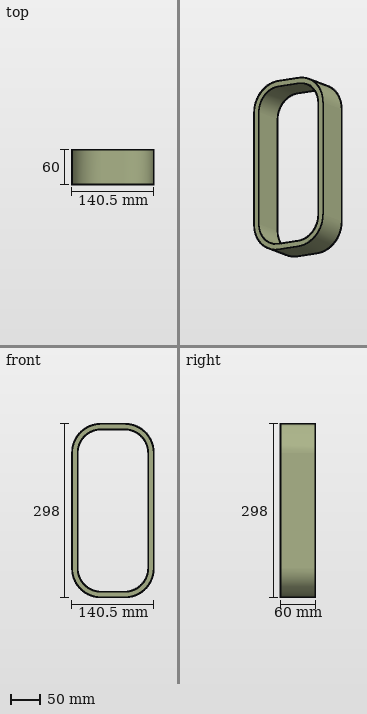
import cadquery as cq

width = 140.5
depth = 60.0
height = 298.0

wall = 10.0
outer_corner_radius = 50.0
inner_corner_radius = outer_corner_radius - wall


def rounded_block(size_x, size_z, corner_radius):
    """Block of the full depth, centred on the origin, with its four Y-direction edges rounded."""
    return cq.Workplane("XY").box(size_x, depth, size_z).edges("|Y").fillet(corner_radius)


outer_body = rounded_block(width, height, outer_corner_radius)
opening = rounded_block(width - 2 * wall, height - 2 * wall, inner_corner_radius)

result = outer_body.cut(opening)